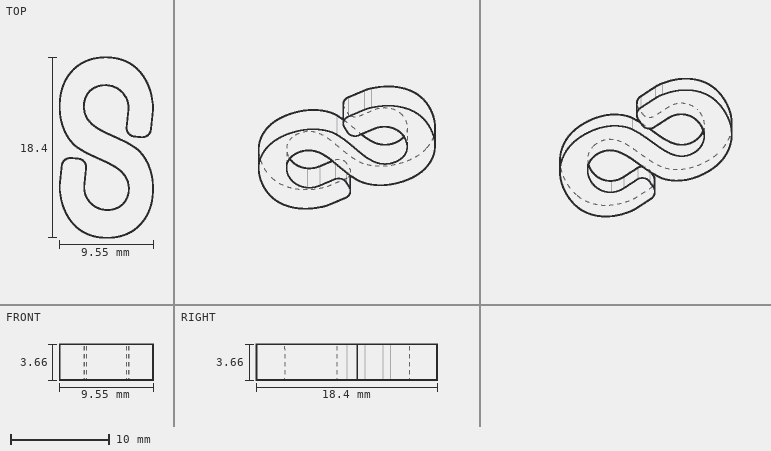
import math

import cadquery as cq

width = 9.55
length = 18.44
thickness = 3.66
half_width = width / 2
half_length = length / 2

half_turn_angle = 180
waist_right = (2.95, 0.0)
waist_heading = 145

eye_curve = [
    waist_right,
    (0.84, 1.11),
    (-0.90, 1.97),
    (-1.92, 2.91),
    (-2.29, 4.12),
    (-1.67, 5.78),
    (0.0, 6.36),
    (1.16, 6.02),
    (2.01, 5.09),
]
eye_curve_end_heading = -64
eye_arc_end = (2.235, 3.80)

tip_inner_corner_start = (2.05, 2.05)
tip_inner_corner_middle = (2.27, 1.42)
tip_inner_corner_end = (2.85, 1.12)
tip_outer_corner_start = (3.54, 1.05)
tip_outer_corner_middle = (4.26, 1.28)
tip_outer_corner_end = (4.56, 1.85)

bow_arc_rise = 0.02
bow_arc_start = (half_width - bow_arc_rise, 3.67)
bow_arc_end = (half_width - bow_arc_rise, 4.45)
bow_curve_start_heading = 96
waist_left = (-waist_right[0], -waist_right[1])
bow_curve = [
    bow_arc_end,
    (4.12, 6.71),
    (2.47, 8.56),
    (0.0, half_length),
    (-2.59, 8.57),
    (-4.24, 6.74),
    (-half_width, 4.15),
    (-4.50, 2.29),
    (-3.80, 0.87),
    waist_left,
]


def unturned(point):
    """Return the point where it is."""
    return point


def half_turn(point):
    """Return the point turned 180 degrees about the origin."""
    return (-point[0], -point[1])


def direction(heading):
    """Return the unit vector along a heading."""
    angle = math.radians(heading)
    return (math.cos(angle), math.sin(angle))


def add_curve(outline, place, points, start_heading, end_heading):
    """Continue the outline with one smooth curve through the points."""
    return outline.spline(
        [place(point) for point in points],
        tangents=[place(direction(start_heading)), place(direction(end_heading))],
        scale=False,
    )


def add_eye(outline, place):
    """Draw the inner edge from the right waist to the inner flank of the tip."""
    outline = add_curve(outline, place, eye_curve, waist_heading, eye_curve_end_heading)
    return outline.tangentArcPoint(place(eye_arc_end), relative=False)


def add_tip(outline, place):
    """Draw the rounded tip with its two straight flanks."""
    outline = outline.lineTo(*place(tip_inner_corner_start))
    outline = outline.threePointArc(place(tip_inner_corner_middle), place(tip_inner_corner_end))
    outline = outline.lineTo(*place(tip_outer_corner_start))
    outline = outline.threePointArc(place(tip_outer_corner_middle), place(tip_outer_corner_end))
    return outline.lineTo(*place(bow_arc_start))


def add_bow(outline, place):
    """Draw the outer edge from the outer flank of the tip over the top to the left waist."""
    outline = outline.tangentArcPoint(place(bow_arc_end), relative=False)
    end_heading = waist_heading + half_turn_angle
    return add_curve(outline, place, bow_curve, bow_curve_start_heading, end_heading)


outline = cq.Workplane("XY").workplane(offset=-thickness / 2).moveTo(*waist_right)
for place in (unturned, half_turn):
    outline = add_eye(outline, place)
    outline = add_tip(outline, place)
    outline = add_bow(outline, place)

result = outline.close().extrude(thickness)